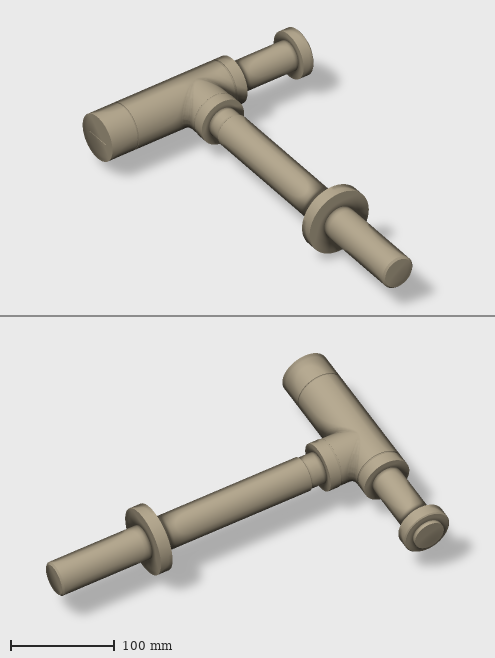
import cadquery as cq

body_diameter = 50.0
body_radius = body_diameter / 2
collar_end = 159.7
cap_groove_center = 30.5
cap_groove_width = 1.5
collar_groove_center = 147.0
ring_groove_width = 2.2
groove_depth = 0.7

slot_length = 27.5
slot_width = 1.0
slot_depth = 2.0

inlet_diameter = 32.0
inlet_end = 243.0
nut_start = 226.0
nut_end = 238.5
nut_chamfer = 1.0

branch_y = 113.0
branch_diameter = 49.0
branch_groove_center = 62.2
branch_ring_diameter = body_diameter
branch_ring_end = 74.7
branch_blend_radius = 6.5

neck_diameter = 32.8
neck_end = 90.5
pipe_diameter = 35.5
pipe_end = 368.0
pipe_start_chamfer = 1.0
pipe_end_chamfer = 2.0
flange_diameter = 70.0
flange_start = 256.0
flange_end = 269.0


def rod_y(diameter, start, end):
    """Cylinder on the body axis between two Y positions."""
    plane = cq.Workplane("XZ", origin=(body_radius, start, 0))
    return plane.circle(diameter / 2).extrude(start - end)


def rod_x(diameter, start, end):
    """Cylinder on the branch axis between two X positions."""
    plane = cq.Workplane("YZ", origin=(start, branch_y, 0))
    return plane.circle(diameter / 2).extrude(end - start)


def groove(rod, diameter, center, width):
    """Ring that cuts a shallow groove around a cylinder."""
    start = center - width / 2
    end = center + width / 2
    core = rod(diameter - 2 * groove_depth, start, end)
    return rod(diameter + 2 * groove_depth, start, end).cut(core)


def blended_tee():
    """Body and side branch with a rounded inside corner."""
    body = rod_y(body_diameter, 0, collar_end)
    branch = rod_x(branch_diameter, body_radius, branch_groove_center)
    corner_zone = cq.selectors.BoxSelector(
        (body_radius, branch_y - body_radius, -body_radius),
        (branch_groove_center - ring_groove_width, branch_y + body_radius, body_radius),
    )
    return body.union(branch).edges(corner_zone).edges("not %CIRCLE").edges("not %LINE").fillet(
        branch_blend_radius
    )


def inlet():
    tube = rod_y(inlet_diameter, collar_end, inlet_end)
    nut = rod_y(body_diameter, nut_start, nut_end).faces(">Y").edges().chamfer(nut_chamfer)
    return tube.union(nut)


def outlet():
    ring = rod_x(branch_ring_diameter, branch_groove_center, branch_ring_end)
    neck = rod_x(neck_diameter, branch_ring_end, neck_end)
    pipe = rod_x(pipe_diameter, neck_end, pipe_end)
    pipe = pipe.faces("<X").edges().chamfer(pipe_start_chamfer)
    pipe = pipe.faces(">X").edges().chamfer(pipe_end_chamfer)
    flange = rod_x(flange_diameter, flange_start, flange_end)
    return ring.union(neck).union(pipe).union(flange)


def cap_slot():
    box = cq.Workplane("XY").box(slot_length, slot_depth, slot_width)
    return box.translate((body_radius, slot_depth / 2, 0))


result = blended_tee().union(inlet()).union(outlet())
result = result.cut(groove(rod_y, body_diameter, cap_groove_center, cap_groove_width))
result = result.cut(groove(rod_y, body_diameter, collar_groove_center, ring_groove_width))
result = result.cut(groove(rod_x, branch_ring_diameter, branch_groove_center, ring_groove_width))
result = result.cut(cap_slot())